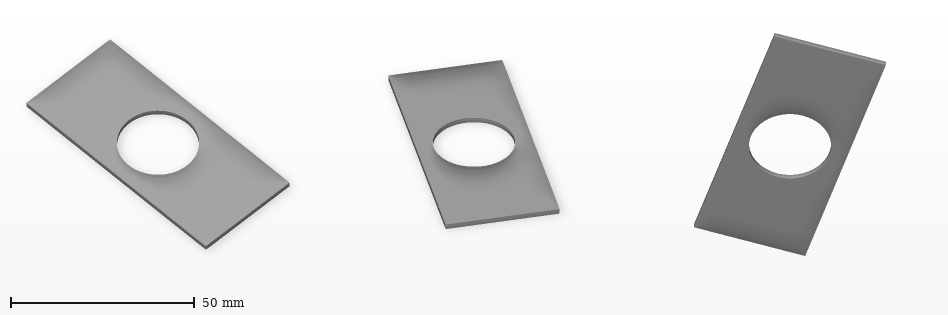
import cadquery as cq

length = 69.85
width = 31.8
thickness = 1.55

hole_diameter = 22.35

result = (
    cq.Workplane("XY")
    .box(length, width, thickness)
    .faces(">Z")
    .workplane()
    .hole(hole_diameter)
)